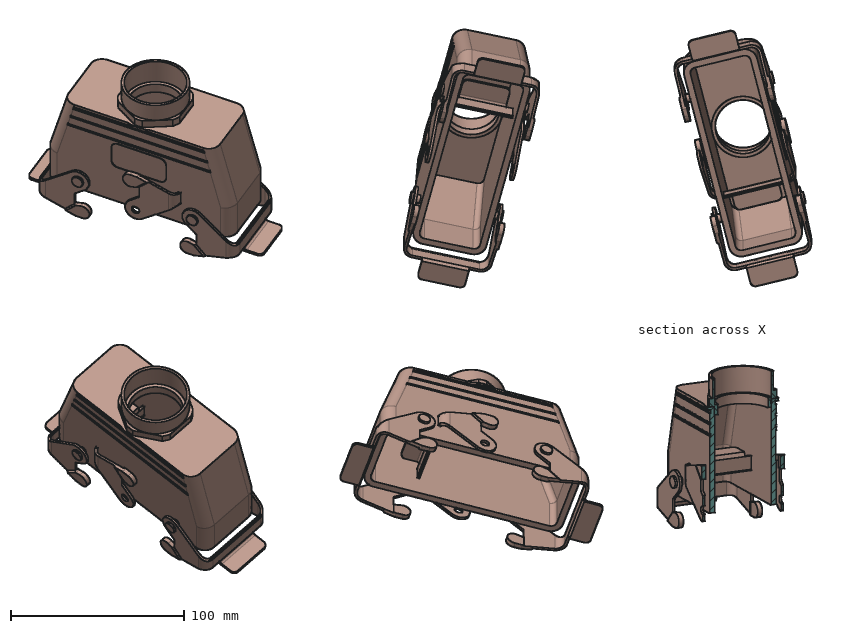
import cadquery as cq
import math


BASE_HALF_LENGTH = 60.0
TOP_HALF_LENGTH = 49.0
HOOD_HALF_WIDTH = 21.7
SHOULDER_Z = 23.0
HOOD_HEIGHT = 64.0
CORNER_RADIUS = 7.3
SIDE_WALL = 3.8
TOP_WALL = 5.3
BOSS_RADIUS = 22.9
BOSS_HEIGHT = 1.8

GROOVE_DEPTH = 0.9
GROOVE_PITCH = 6.8
LOWEST_GROOVE_Z = 46.5
GROOVE_HEIGHTS = [1.2, 1.2, 1.8]

PANEL_LENGTH = 35.3
PANEL_HEIGHT = 18.2
PANEL_RADIUS = 4.2
PANEL_CENTRE_Z = 35.5
PANEL_DEPTH = 0.3

BORE_DIAMETER = 32.0
SOCKET_DIAMETER = 36.2
COLLAR_DIAMETER = 39.4
NECK_DIAMETER = 36.4
HEX_ACROSS_FLATS = 39.9
HEX_CORNER_DIAMETER = 43.5
HEX_HEIGHT = 5.0
COLLAR_HEIGHT = 11.5
SOCKET_FLOOR = 0.9

PEG_DIAMETER = 4.9
PEG_HEAD_DIAMETER = 7.0
PEG_SPAN = 54.5
PEG_X = 37.0
PEG_Z = 10.0
SPARE_PIVOT_Z = 2.5

SHEET = 1.5
LEVER_HALF_WIDTH = 25.9
PIVOT_HOLE_DIAMETER = 5.0
EYE_RADIUS = 6.8
BOW_REACH = 27.3
BOW_BEND_RADIUS = 6.0
BOW_TOP_Z = -12.3
BOW_BOTTOM_Z = -20.6
UPPER_CORNER_X = -26.4
LOWER_CORNER_X = -24.3
THROAT_X = -2.5
THROAT_TOP_Z = -10.9
THROAT_BOTTOM_Z = -18.8
THROAT_RADIUS = 1.2
HOOK_SHOULDER_X = -1.2
HOOK_RADIUS = 4.5
HOOK_CENTRE = (3.2, -22.3)
HOOK_FLAT_X = -1.2
HOOK_OUTER_STEP = 0.9
HOOK_INNER_STEP = 0.6
TAB_REACH = 75.8 - PEG_X
TAB_WIDTH = 28.0
TAB_TOP_Z = -21.7
TAB_CORNER_RADIUS = 3.0
TAB_BEND_X = -27.9
TAB_BEND_UNDERSIDE_X = -26.8
TAB_BEND_RADIUS = 1.5


def cylinder(diameter, bottom, height):
    """Upright cylinder on the Z axis."""
    return cq.Workplane("XY").workplane(offset=bottom).circle(diameter / 2).extrude(height)


def extrude_along_y(outline, y_start, y_end):
    """Extrude a closed outline drawn in the XZ plane from y_start to y_end."""
    return outline.extrude(y_start - y_end).translate((0, y_start, 0))


def tangent_point(start, centre, radius, side):
    """Point where the line from start touches a circle; side is +1 (left) or -1 (right)."""
    dx = start[0] - centre[0]
    dz = start[1] - centre[1]
    angle = math.atan2(dz, dx) - side * math.acos(radius / math.hypot(dx, dz))
    return (centre[0] + radius * math.cos(angle), centre[1] + radius * math.sin(angle))


END_LEAN = math.atan2(BASE_HALF_LENGTH - TOP_HALF_LENGTH, HOOD_HEIGHT - SHOULDER_Z)


def half_length_at(z):
    """Half length of the leaning part of the hood at height z."""
    return TOP_HALF_LENGTH + (HOOD_HEIGHT - z) * math.tan(END_LEAN)


def hood_block(inset, height):
    """Hood shape with its walls moved in by inset and cut off at height."""
    base = BASE_HALF_LENGTH - inset
    top = half_length_at(height) - inset / math.cos(END_LEAN)
    shoulder = SHOULDER_Z - inset * math.tan(END_LEAN / 2)
    half_width = HOOD_HALF_WIDTH - inset
    outline = cq.Workplane("XZ").polyline([
        (-base, 0), (base, 0), (base, shoulder), (top, height), (-top, height), (-base, shoulder),
    ]).close()
    block = extrude_along_y(outline, -half_width, half_width)
    corner_edges = block.faces("<Y or >Y").edges("not(|X)")
    return corner_edges.fillet(CORNER_RADIUS - inset)


def groove(bottom, height, side):
    """Shallow groove across the flat part of one long side (side is +1 or -1 in Y)."""
    corner = CORNER_RADIUS / math.cos(END_LEAN)
    low = half_length_at(bottom) - corner
    high = half_length_at(bottom + height) - corner
    outline = cq.Workplane("XZ").polyline([
        (-low, bottom), (low, bottom), (high, bottom + height), (-high, bottom + height),
    ]).close()
    floor = side * (HOOD_HALF_WIDTH - GROOVE_DEPTH)
    face = side * HOOD_HALF_WIDTH
    return extrude_along_y(outline, min(floor, face), max(floor, face))


def peg(x, side):
    """Headed peg standing on one long side of the hood."""
    shank_length = LEVER_HALF_WIDTH - HOOD_HALF_WIDTH
    head_length = PEG_SPAN / 2 - LEVER_HALF_WIDTH
    shank = cylinder(PEG_DIAMETER, HOOD_HALF_WIDTH, shank_length)
    head = cylinder(PEG_HEAD_DIAMETER, LEVER_HALF_WIDTH, head_length)
    return shank.union(head).rotate((0, 0, 0), (1, 0, 0), -90 * side).translate((x, 0, PEG_Z))


def make_hood():
    hood = hood_block(0, HOOD_HEIGHT)
    hood = hood.union(cylinder(2 * BOSS_RADIUS, HOOD_HEIGHT - BOSS_HEIGHT, BOSS_HEIGHT))
    for side in (-1, 1):
        for index, height in enumerate(GROOVE_HEIGHTS):
            hood = hood.cut(groove(LOWEST_GROOVE_Z + index * GROOVE_PITCH, height, side))
    panel = (
        cq.Workplane("XY")
        .box(PANEL_LENGTH, PANEL_DEPTH, PANEL_HEIGHT)
        .edges("|Y").fillet(PANEL_RADIUS)
        .translate((0, PANEL_DEPTH / 2 - HOOD_HALF_WIDTH, PANEL_CENTRE_Z))
    )
    hood = hood.cut(panel)
    hood = hood.cut(hood_block(SIDE_WALL, HOOD_HEIGHT - TOP_WALL))
    hood = hood.cut(cylinder(NECK_DIAMETER, HOOD_HEIGHT - TOP_WALL, TOP_WALL))
    for x in (-PEG_X, PEG_X):
        for side in (-1, 1):
            hood = hood.union(peg(x, side))
    return hood


def make_gland():
    neck_bottom = HOOD_HEIGHT - TOP_WALL
    hexagon = (
        cq.Workplane("XY").workplane(offset=HOOD_HEIGHT)
        .polygon(6, HEX_ACROSS_FLATS, circumscribed=True)
        .extrude(HEX_HEIGHT)
        .intersect(cylinder(HEX_CORNER_DIAMETER, HOOD_HEIGHT, HEX_HEIGHT))
    )
    gland = hexagon.union(cylinder(COLLAR_DIAMETER, HOOD_HEIGHT + HEX_HEIGHT, COLLAR_HEIGHT))
    gland = gland.union(cylinder(NECK_DIAMETER, neck_bottom, TOP_WALL))
    gland_top = HOOD_HEIGHT + HEX_HEIGHT + COLLAR_HEIGHT
    socket_bottom = HOOD_HEIGHT + SOCKET_FLOOR
    gland = gland.cut(cylinder(SOCKET_DIAMETER, socket_bottom, gland_top - socket_bottom))
    return gland.cut(cylinder(BORE_DIAMETER, neck_bottom, gland_top - neck_bottom))


def lever_outline():
    """Side outline of the lever: eye round the pivot, bow at -X and hook below."""
    upper_corner = (UPPER_CORNER_X, BOW_TOP_Z)
    throat_top = (THROAT_X, THROAT_TOP_Z)
    hook_shoulder = (HOOK_SHOULDER_X, THROAT_BOTTOM_Z)
    hook_x, hook_z = HOOK_CENTRE
    hook_bottom_z = hook_z - HOOK_RADIUS
    return (
        cq.Workplane("XZ")
        .moveTo(-BOW_REACH, BOW_BOTTOM_Z)
        .lineTo(-BOW_REACH, BOW_TOP_Z)
        .lineTo(*upper_corner)
        .lineTo(*tangent_point(upper_corner, (0, 0), EYE_RADIUS, 1))
        .threePointArc((EYE_RADIUS, 0), tangent_point(throat_top, (0, 0), EYE_RADIUS, -1))
        .lineTo(*throat_top)
        .lineTo(THROAT_X, THROAT_BOTTOM_Z)
        .lineTo(*hook_shoulder)
        .lineTo(*tangent_point(hook_shoulder, HOOK_CENTRE, HOOK_RADIUS, 1))
        .threePointArc((hook_x + HOOK_RADIUS, hook_z), (hook_x, hook_bottom_z))
        .lineTo(HOOK_FLAT_X, hook_bottom_z)
        .lineTo(LOWER_CORNER_X, BOW_BOTTOM_Z)
        .close()
    )


def lever_plate(y_start, y_end):
    """Lever outline as a plate, with the rounded corner at the top of the throat."""
    plate = extrude_along_y(lever_outline(), y_start, y_end)
    corner = cq.selectors.NearestToPointSelector((THROAT_X, (y_start + y_end) / 2, THROAT_TOP_Z))
    return plate.edges("|Y").edges(corner).fillet(THROAT_RADIUS)


def bow_plan(inset):
    """Tall block with the plan of the bow: open towards +X, round corners at -X."""
    length = 2 * BOW_REACH
    height = 4 * BOW_REACH
    return (
        cq.Workplane("XY")
        .box(length, 2 * (LEVER_HALF_WIDTH - inset), height)
        .edges("|Z and <X").fillet(BOW_BEND_RADIUS - inset)
        .translate((length / 2 - BOW_REACH + inset, 0, 0))
    )


def hook_pad():
    """Thicker hook on the +Y arm, raised on the outside behind a 45 degree ramp."""
    inner_face = LEVER_HALF_WIDTH - SHEET
    outer_top = LEVER_HALF_WIDTH + HOOK_OUTER_STEP
    span = 2 * BOW_REACH
    below_crease = cq.Workplane("XZ").polyline([
        (THROAT_X + span, THROAT_BOTTOM_Z + span),
        (THROAT_X - span, THROAT_BOTTOM_Z - span),
        (THROAT_X + span, THROAT_BOTTOM_Z - span),
    ]).close()
    crease_block = (
        extrude_along_y(below_crease, inner_face, outer_top)
        .faces(">Y").edges("|(1, 0, 1)").chamfer(HOOK_OUTER_STEP)
    )
    outer = lever_plate(inner_face, outer_top).intersect(crease_block)
    hook_side = cq.Workplane("XZ").polyline([
        (THROAT_X, THROAT_BOTTOM_Z), (THROAT_X, -span), (span, -span), (span, THROAT_BOTTOM_Z + span),
    ]).close()
    inner_start = inner_face - HOOK_INNER_STEP
    inner = lever_plate(inner_start, inner_face).intersect(
        extrude_along_y(hook_side, inner_start, inner_face))
    return outer.union(inner)


def lever_tab():
    """Finger tab bent outwards from the lower edge of the bow."""
    outline = cq.Workplane("XZ").polyline([
        (SHEET - BOW_REACH, BOW_BOTTOM_Z),
        (TAB_BEND_UNDERSIDE_X, TAB_TOP_Z - SHEET),
        (-TAB_REACH, TAB_TOP_Z - SHEET),
        (-TAB_REACH, TAB_TOP_Z),
        (TAB_BEND_X, TAB_TOP_Z),
        (-BOW_REACH, BOW_BOTTOM_Z),
    ]).close()
    bend = cq.selectors.NearestToPointSelector((TAB_BEND_X, 0, TAB_TOP_Z))
    return (
        extrude_along_y(outline, -TAB_WIDTH / 2, TAB_WIDTH / 2)
        .edges("|Y").edges(bend).fillet(TAB_BEND_RADIUS)
        .faces("<X").edges("|Z").fillet(TAB_CORNER_RADIUS)
    )


def make_lever():
    """Sheet metal locking lever with its pivot axis along Y through the origin."""
    lever = lever_plate(-LEVER_HALF_WIDTH, LEVER_HALF_WIDTH)
    lever = lever.intersect(bow_plan(0).cut(bow_plan(SHEET)))
    pad = hook_pad()
    lever = lever.union(pad).union(pad.mirror("XZ")).union(lever_tab())
    pivot_hole = cylinder(PIVOT_HOLE_DIAMETER, -PEG_SPAN, 2 * PEG_SPAN)
    return lever.cut(pivot_hole.rotate((0, 0, 0), (1, 0, 0), 90))


LEVER_PLACES = [
    ((0, 0, 1), 0, (-PEG_X, PEG_Z)),
    ((0, 0, 1), 180, (PEG_X, PEG_Z)),
    ((0, 1, 0), 180, (0, SPARE_PIVOT_Z)),
]
levers = []
for axis, angle, (pivot_x, pivot_z) in LEVER_PLACES:
    levers.append(make_lever().rotate((0, 0, 0), axis, angle).translate((pivot_x, 0, pivot_z)))

middle_lever = levers[-1]
hood = make_hood().cut(middle_lever)
gland = make_gland()

result = cq.Compound.makeCompound([hood.val(), gland.val(), *[lever.val() for lever in levers]])